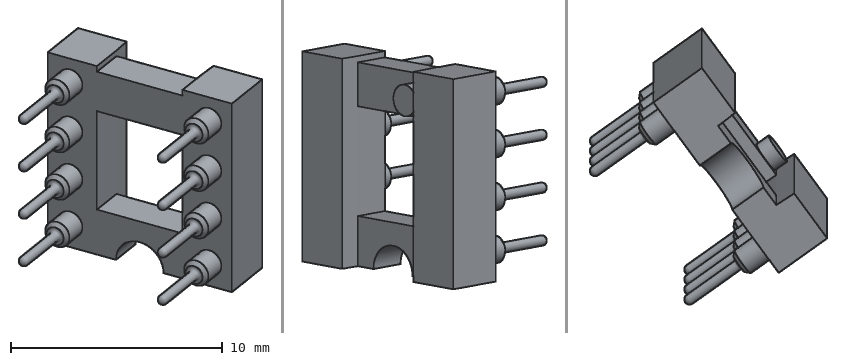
import cadquery as cq
import math

frame_side = 10.1
rail_depth = 2.83
bridge_depth = 1.82
window_width = 4.69
window_height = 5.27
rail_gap_at_back = 4.77
top_recess = 0.3
notch_radius = 1.3

boss_radius = 0.76
boss_length = 0.71
boss_x = -1.49
boss_z = 3.51

pins_per_row = 4
row_spacing = 7.62
pin_pitch = row_spacing / (pins_per_row - 1)
pin_length = 4.55
collar_radius = 0.67
collar_length = 1.4
collar_chamfer = 0.2
shaft_radius = 0.25
neck_fillet = 0.15

half_side = frame_side / 2
bridge_top_z = half_side - top_recess


def make_frame():
    frame = cq.Workplane("XY").box(frame_side, rail_depth, frame_side, centered=(True, False, True))
    channel = (
        cq.Workplane("XY", origin=(0, 0, -half_side))
        .moveTo(-window_width / 2, bridge_depth)
        .lineTo(window_width / 2, bridge_depth)
        .lineTo(rail_gap_at_back / 2, rail_depth)
        .lineTo(-rail_gap_at_back / 2, rail_depth)
        .close()
        .extrude(frame_side)
    )
    window = cq.Workplane("XY").box(
        window_width, rail_depth, window_height, centered=(True, False, True)
    )
    recess = cq.Workplane("XY", origin=(0, 0, bridge_top_z)).box(
        window_width, rail_depth, top_recess, centered=(True, False, False)
    )
    notch = cq.Workplane("XZ", origin=(0, 0, -half_side)).circle(notch_radius).extrude(-rail_depth)
    return frame.cut(channel).cut(window).cut(recess).cut(notch)


def make_boss():
    return (
        cq.Workplane("XZ", origin=(boss_x, bridge_depth, boss_z))
        .circle(boss_radius)
        .extrude(-boss_length)
    )


def make_pin():
    arc_share = math.sqrt(0.5)
    tip_start = pin_length - shaft_radius
    fillet_outer = shaft_radius + neck_fillet
    fillet_end = collar_length + neck_fillet
    fillet_middle = (
        fillet_outer - neck_fillet * arc_share,
        -(fillet_end - neck_fillet * arc_share),
    )
    tip_middle = (shaft_radius * arc_share, -(tip_start + shaft_radius * arc_share))
    return (
        cq.Workplane("XY")
        .lineTo(collar_radius, 0)
        .lineTo(collar_radius, -(collar_length - collar_chamfer))
        .lineTo(collar_radius - collar_chamfer, -collar_length)
        .lineTo(fillet_outer, -collar_length)
        .threePointArc(fillet_middle, (shaft_radius, -fillet_end))
        .lineTo(shaft_radius, -tip_start)
        .threePointArc(tip_middle, (0, -pin_length))
        .close()
        .revolve(360, (0, 0, 0), (0, 1, 0))
    )


result = make_frame().union(make_boss())
pin = make_pin()
for x in (-row_spacing / 2, row_spacing / 2):
    for index in range(pins_per_row):
        z = index * pin_pitch - row_spacing / 2
        result = result.union(pin.translate((x, 0, z)))